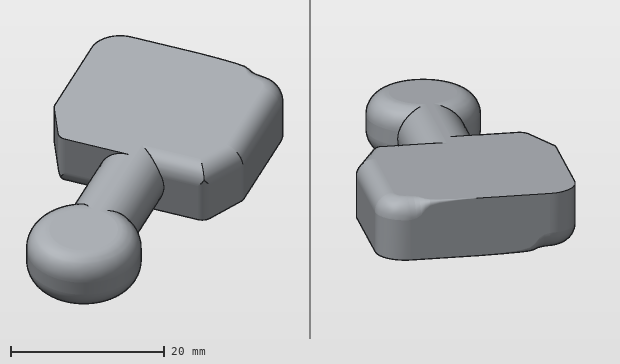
import cadquery as cq

total_length = 47.95
height = 8.0
plate_width = 26.5
plate_length = 23.45
half_width = plate_width / 2
mid_height = height / 2

back_corner_radius = 4.0
front_cut_width = 3.0
front_cut_length = 6.0
front_corner_radius = 1.5
edge_round = 2.5

margin = 0.5

stem_width = 9.0
disc_radius = 7.5
disc_edge_round = 3.0

plate_back = total_length - disc_radius
plate_front = plate_back - plate_length
back_arc_start = half_width - back_corner_radius

fade_sections = [
    (0.5, 0.025),
    (2.9, 0.15),
    (5.35, 0.4),
    (6.6, 0.65),
    (7.25, 1.15),
    (7.85, 1.9),
    (8.5, 2.3),
    (back_arc_start, edge_round),
]


def sharp_plate():
    """Plate with rounded back corners and angled, still sharp, front corners."""
    side_front = plate_front + front_cut_length
    front_half_width = half_width - front_cut_width
    outline = [
        (-half_width, plate_back),
        (half_width, plate_back),
        (half_width, side_front),
        (front_half_width, plate_front),
        (-front_half_width, plate_front),
        (-half_width, side_front),
    ]
    plate = cq.Workplane("XY").polyline(outline).close().extrude(height)
    return plate.edges("|Z and >Y").fillet(back_corner_radius)


def fade_cutter():
    """Concave-sided wedge that rounds the back top edge with a growing radius."""
    ruled_sides = True
    profiles = []
    for position, radius in fade_sections:
        diagonal = radius * (1 - 0.5**0.5)
        profile = (
            cq.Workplane("YZ", origin=(position, plate_back, height))
            .moveTo(-radius, 0)
            .threePointArc((-diagonal, -diagonal), (0, -radius))
            .lineTo(0, 0)
            .close()
        )
        profiles.append(profile.wire().val())
    return cq.Workplane(cq.Solid.makeLoft(profiles, ruled_sides))


def rounded_half():
    """The +X half of the plate, with its top edge rounded on the front, side and back corner."""
    sharp = sharp_plate()
    rounded = sharp.faces(">Z").edges().fillet(edge_round)

    back_strip = (
        cq.Workplane("XY", origin=(0, plate_back - edge_round, 0))
        .box(back_arc_start, edge_round, height, centered=False)
        .cut(fade_cutter())
    )
    right_side = cq.Workplane("XY", origin=(0, plate_front, 0)).box(
        half_width, plate_length, height, centered=False
    )

    front_corners = cq.selectors.BoxSelector(
        (-plate_width, plate_front - margin, 0),
        (plate_width, plate_front + front_cut_length + margin, height),
    )
    trim = sharp.edges("|Z").edges(front_corners).fillet(front_corner_radius)
    return rounded.intersect(right_side).union(back_strip).intersect(trim)


def stem():
    """Bar with fully rounded sides, reaching from the disc centre into the plate."""
    stem_length = plate_front + edge_round
    bar = cq.Workplane("XZ", origin=(0, 0, mid_height)).slot2D(stem_width, height)
    return bar.extrude(-stem_length)


def disc():
    """Round end with rounded top and bottom rims."""
    return cq.Workplane("XY").circle(disc_radius).extrude(height).edges().fillet(disc_edge_round)


right_half = rounded_half()
left_half = right_half.rotate((0, 0, mid_height), (0, 1, mid_height), 180)

result = right_half.union(left_half).union(stem()).union(disc())